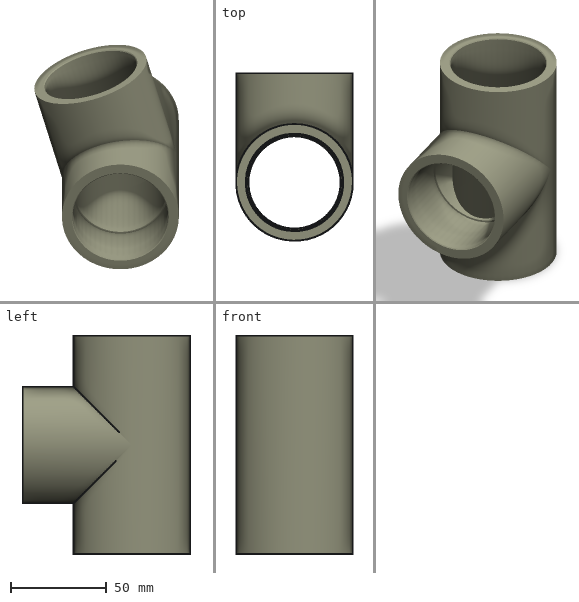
import cadquery as cq

run_length = 114.0
outer_diameter = 61.0
bore_diameter = 48.0
socket_diameter = 50.0
socket_depth = 31.0
mouth_chamfer = 0.5

half_run = run_length / 2
branch_length = half_run

top_mouth = cq.Plane(origin=(0, 0, half_run), xDir=(1, 0, 0), normal=(0, 0, 1))
bottom_mouth = cq.Plane(origin=(0, 0, -half_run), xDir=(1, 0, 0), normal=(0, 0, -1))
branch_mouth = cq.Plane(origin=(0, branch_length, 0), xDir=(1, 0, 0), normal=(0, 1, 0))


def inward_cylinder(mouth, diameter, depth):
    """Cylinder running from a mouth into the tee."""
    return cq.Workplane(mouth).circle(diameter / 2).extrude(-depth)


def socket_cutter(mouth):
    """Pipe socket with a chamfered lead-in at its mouth."""
    socket_radius = socket_diameter / 2
    lead_in = (
        cq.Workplane(mouth)
        .circle(socket_radius + mouth_chamfer)
        .workplane(offset=-mouth_chamfer)
        .circle(socket_radius)
        .loft(ruled=True)
    )
    return inward_cylinder(mouth, socket_diameter, socket_depth).union(lead_in)


result = inward_cylinder(top_mouth, outer_diameter, run_length).union(
    inward_cylinder(branch_mouth, outer_diameter, branch_length)
)

result = result.cut(inward_cylinder(top_mouth, bore_diameter, run_length))
result = result.cut(inward_cylinder(branch_mouth, bore_diameter, branch_length))

for mouth in (top_mouth, bottom_mouth, branch_mouth):
    result = result.cut(socket_cutter(mouth))